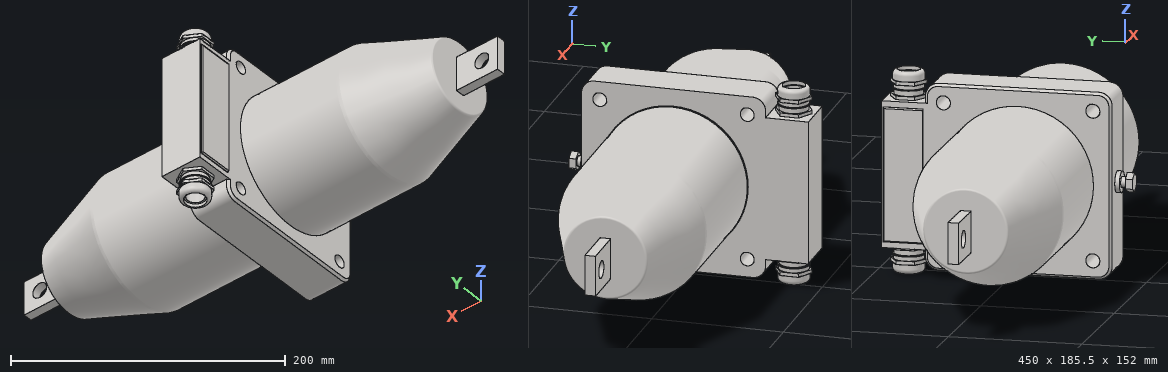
import cadquery as cq

BODY_LENGTH = 372.0
BODY_RADIUS = 56.5
SHOULDER_X = 117.0
TIP_RADIUS = 31.7
SHOULDER_ROUND = 8.0
TIP_ROUND = 2.0

BAR_LENGTH = 450.0
BAR_THICKNESS = 8.0
BAR_HEIGHT = 31.0
BAR_HOLE_DIAMETER = 13.0
BAR_HOLE_FROM_END = 15.0

FLANGE_SIZE = 140.0
FLANGE_THICKNESS = 36.0
FLANGE_CENTER_X = -6.7
FLANGE_CORNER_RADIUS = 10.0
FLANGE_CHAMFER = 2.0
MOUNT_HOLE_PITCH = 112.0
MOUNT_HOLE_DIAMETER = 10.5
COLLAR_RADIUS = BODY_RADIUS + 0.3
COLLAR_HEIGHT = 1.5

BOX_END_Y = 102.5
BOX_HEIGHT = 110.0
BOX_OVERLAP = FLANGE_CHAMFER
LID_HEIGHT = 101.0
LID_THICKNESS = 1.3
LID_CHAMFER = 1.0
LID_MARGIN = 1.2

GLAND_Y = 86.2
GLAND_HEX_FLATS = 24.0
GLAND_BASE_HEIGHT = 2.6
GLAND_NECK_DIAMETER = 22.0
GLAND_NECK_HEIGHT = 4.1
GLAND_SLEEVE_DIAMETER = 23.0
GLAND_SLEEVE_HEIGHT = 4.0
GLAND_RING_DIAMETER = 24.0
GLAND_RING_HEIGHT = 0.8
GLAND_NUT_HEIGHT = 2.8
GLAND_CAP_DIAMETER = 24.0
GLAND_TOP_Z = 76.0
GLAND_CAP_ROUND = 3.5
GLAND_BORE_DIAMETER = 14.0
GLAND_MOUTH_DIAMETER = 17.0
GLAND_MOUTH_DEPTH = 3.0

SCREW_END_Y = -83.0
WASHER_DIAMETER = 16.0
WASHER_HEIGHT = 3.5
SHANK_DIAMETER = 8.0
HEAD_FLATS = 12.7
HEAD_HEIGHT = 5.5

HEX_CORNERS_PER_FLATS = 2 / 3 ** 0.5

FLANGE_BACK_X = FLANGE_CENTER_X - FLANGE_THICKNESS / 2
FLANGE_FRONT_X = FLANGE_CENTER_X + FLANGE_THICKNESS / 2
FLANGE_EDGE = FLANGE_SIZE / 2


def make_body():
    """Cylinder with a rounded cone at each end."""
    half_length = BODY_LENGTH / 2
    profile = [
        (-half_length, 0),
        (-half_length, TIP_RADIUS),
        (-SHOULDER_X, BODY_RADIUS),
        (SHOULDER_X, BODY_RADIUS),
        (half_length, TIP_RADIUS),
        (half_length, 0),
    ]
    body = cq.Workplane("XZ").polyline(profile).close().revolve(360, (0, 0, 0), (1, 0, 0))
    for side in (-1, 1):
        shoulder = cq.selectors.NearestToPointSelector((side * SHOULDER_X, 0, 0))
        body = body.edges("%CIRCLE").edges(shoulder).fillet(SHOULDER_ROUND)
    return body.faces("<X or >X").edges().fillet(TIP_ROUND)


def make_terminal_bar():
    """Flat bar with a bolt hole near each end."""
    hole_x = BAR_LENGTH / 2 - BAR_HOLE_FROM_END
    bar = cq.Workplane("XY").box(BAR_LENGTH, BAR_THICKNESS, BAR_HEIGHT)
    holes = (
        cq.Workplane("XZ")
        .pushPoints([(-hole_x, 0), (hole_x, 0)])
        .circle(BAR_HOLE_DIAMETER / 2)
        .extrude(BAR_THICKNESS, both=True)
    )
    return bar.cut(holes)


def make_flange():
    """Square plate with rounded corners, a chamfered -X rim and a low collar on +X."""
    plate = (
        cq.Workplane("YZ", origin=(FLANGE_BACK_X, 0, 0))
        .rect(FLANGE_SIZE, FLANGE_SIZE)
        .extrude(FLANGE_THICKNESS)
        .edges("|X")
        .fillet(FLANGE_CORNER_RADIUS)
        .faces("<X")
        .edges()
        .chamfer(FLANGE_CHAMFER)
    )
    collar = (
        cq.Workplane("YZ", origin=(FLANGE_FRONT_X, 0, 0))
        .circle(COLLAR_RADIUS)
        .extrude(COLLAR_HEIGHT)
    )
    return plate.union(collar)


def make_mount_holes():
    """Four through holes at the flange corners."""
    return (
        cq.Workplane("YZ", origin=(FLANGE_BACK_X, 0, 0))
        .rect(MOUNT_HOLE_PITCH, MOUNT_HOLE_PITCH, forConstruction=True)
        .vertices()
        .circle(MOUNT_HOLE_DIAMETER / 2)
        .extrude(FLANGE_THICKNESS)
    )


def make_terminal_box():
    """Box beside the flange with a raised lid on its -X face."""
    box_start_y = FLANGE_EDGE - BOX_OVERLAP
    box = cq.Workplane("XY").box(
        FLANGE_THICKNESS, BOX_END_Y - box_start_y, BOX_HEIGHT
    )
    box = box.translate((FLANGE_CENTER_X, (BOX_END_Y + box_start_y) / 2, 0))
    lid_start_y = FLANGE_EDGE + LID_MARGIN
    lid_end_y = BOX_END_Y - LID_MARGIN
    lid = cq.Workplane("XY").box(LID_THICKNESS, lid_end_y - lid_start_y, LID_HEIGHT)
    lid = lid.faces("<X").edges(">Y or >Z or <Z").chamfer(LID_CHAMFER)
    lid = lid.translate((FLANGE_BACK_X - LID_THICKNESS / 2, (lid_start_y + lid_end_y) / 2, 0))
    return box.union(lid)


def make_gland():
    """Upper cable gland: hex base, stepped neck with a ring, hex nut and rounded cap."""
    hex_corners = GLAND_HEX_FLATS * HEX_CORNERS_PER_FLATS
    base_z = BOX_HEIGHT / 2
    neck_z = base_z + GLAND_BASE_HEIGHT
    sleeve_z = neck_z + GLAND_NECK_HEIGHT
    nut_z = sleeve_z + GLAND_SLEEVE_HEIGHT
    cap_z = nut_z + GLAND_NUT_HEIGHT

    def level(z):
        return cq.Workplane("XY", origin=(FLANGE_CENTER_X, GLAND_Y, z))

    def hexagon(z, height):
        return level(z).transformed(rotate=(0, 0, 90)).polygon(6, hex_corners).extrude(height)

    cap = level(cap_z).circle(GLAND_CAP_DIAMETER / 2).extrude(GLAND_TOP_Z - cap_z)
    cap = cap.faces(">Z").edges().fillet(GLAND_CAP_ROUND)
    return (
        hexagon(base_z, GLAND_BASE_HEIGHT)
        .union(level(neck_z).circle(GLAND_NECK_DIAMETER / 2).extrude(GLAND_NECK_HEIGHT))
        .union(level(sleeve_z).circle(GLAND_SLEEVE_DIAMETER / 2).extrude(GLAND_SLEEVE_HEIGHT))
        .union(level(sleeve_z).circle(GLAND_RING_DIAMETER / 2).extrude(GLAND_RING_HEIGHT))
        .union(hexagon(nut_z, GLAND_NUT_HEIGHT))
        .union(cap)
    )


def make_gland_bore():
    """Cable passage through both glands and the box, counterbored at each mouth."""
    def cylinder(start_z, diameter, height):
        level = cq.Workplane("XY", origin=(FLANGE_CENTER_X, GLAND_Y, start_z))
        return level.circle(diameter / 2).extrude(height)

    bore = cylinder(-GLAND_TOP_Z, GLAND_BORE_DIAMETER, 2 * GLAND_TOP_Z)
    for mouth_z in (-GLAND_TOP_Z, GLAND_TOP_Z - GLAND_MOUTH_DEPTH):
        bore = bore.union(cylinder(mouth_z, GLAND_MOUTH_DIAMETER, GLAND_MOUTH_DEPTH))
    return bore


def make_earth_screw():
    """Washer, shank and hex head standing out of the -Y edge."""
    def level(y):
        return cq.Workplane("XZ", origin=(FLANGE_CENTER_X, y, 0))

    head_start_y = SCREW_END_Y + HEAD_HEIGHT
    shank_length = -FLANGE_EDGE - head_start_y
    washer = level(-FLANGE_EDGE).circle(WASHER_DIAMETER / 2).extrude(WASHER_HEIGHT)
    shank = level(-FLANGE_EDGE).circle(SHANK_DIAMETER / 2).extrude(shank_length)
    head = (
        level(head_start_y)
        .transformed(rotate=(0, 0, 90))
        .polygon(6, HEAD_FLATS * HEX_CORNERS_PER_FLATS)
        .extrude(HEAD_HEIGHT)
    )
    return washer.union(shank).union(head)


upper_gland = make_gland()
lower_gland = upper_gland.mirror("XY")

result = (
    make_body()
    .union(make_terminal_bar())
    .union(make_flange())
    .union(make_terminal_box())
    .union(upper_gland)
    .union(lower_gland)
    .union(make_earth_screw())
    .cut(make_mount_holes())
    .cut(make_gland_bore())
)